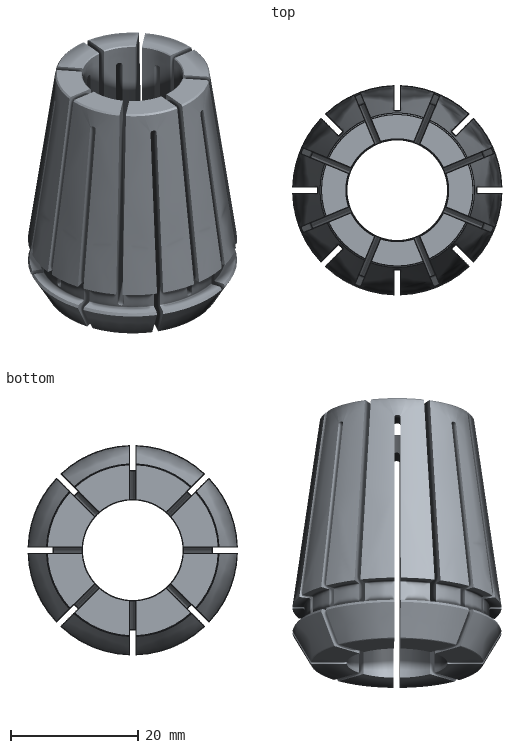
import cadquery as cq
import math

height = 40.0
max_radius = 16.5
taper_angle = 8.0
top_chamfer = 0.25

bore_radius = 15.9 / 2
bore_chamfer = 0.15

nose_angle = 30.0
rim_height = 5.1
nose_chamfer = 0.1
flange_height = 5.5
rim_bevel_width = 0.25
groove_radius = 14.6
groove_fillet = 0.15
taper_base_height = 9.1

slot_width = 1.0
slot_end_fillet = 0.4
slots_per_end = 8
lower_slot_end = 37.05
upper_slot_end = 5.9

nose_slope = math.tan(math.radians(nose_angle))
nose_radius = max_radius - rim_height * nose_slope
taper_slope = math.tan(math.radians(taper_angle))
chamfer_base_height = height - top_chamfer
chamfer_base_radius = max_radius - (chamfer_base_height - taper_base_height) * taper_slope
top_radius = chamfer_base_radius - top_chamfer


def make_body():
    """Revolve the half section: nose cone, filleted groove, long taper and bore."""
    groove_root_radius = groove_radius + groove_fillet
    return (
        cq.Workplane("XZ")
        .moveTo(bore_radius, 0)
        .lineTo(nose_radius - nose_chamfer, 0)
        .lineTo(nose_radius + nose_chamfer * nose_slope, nose_chamfer)
        .lineTo(max_radius, rim_height)
        .lineTo(max_radius - rim_bevel_width, flange_height)
        .lineTo(groove_root_radius, flange_height)
        .radiusArc((groove_radius, flange_height + groove_fillet), groove_fillet)
        .lineTo(groove_radius, taper_base_height - groove_fillet)
        .radiusArc((groove_root_radius, taper_base_height), groove_fillet)
        .lineTo(max_radius, taper_base_height)
        .lineTo(chamfer_base_radius, chamfer_base_height)
        .lineTo(top_radius, height)
        .lineTo(bore_radius + bore_chamfer, height)
        .lineTo(bore_radius, height - bore_chamfer)
        .close()
        .revolve(360, (0, 0), (0, 1))
    )


def make_slot_cutter(open_z, end_z):
    """Blade across the whole diameter, square at open_z and rounded at end_z."""
    blade_length = 2 * (max_radius + slot_width)
    end_face = ">Z" if end_z > open_z else "<Z"
    return (
        cq.Workplane("XY")
        .box(slot_width, blade_length, abs(end_z - open_z))
        .translate((0, 0, (open_z + end_z) / 2))
        .faces(end_face)
        .edges("|Y")
        .fillet(slot_end_fillet)
    )


def cut_slots(body, cutter, first_angle):
    """Cut evenly spaced slots; each blade makes two opposite slots."""
    step = 360 / slots_per_end
    for index in range(slots_per_end // 2):
        angle = first_angle + index * step
        body = body.cut(cutter.rotate((0, 0, 0), (0, 0, 1), angle))
    return body


result = make_body()
result = cut_slots(result, make_slot_cutter(0, lower_slot_end), 0)
result = cut_slots(result, make_slot_cutter(height, upper_slot_end), 180 / slots_per_end)